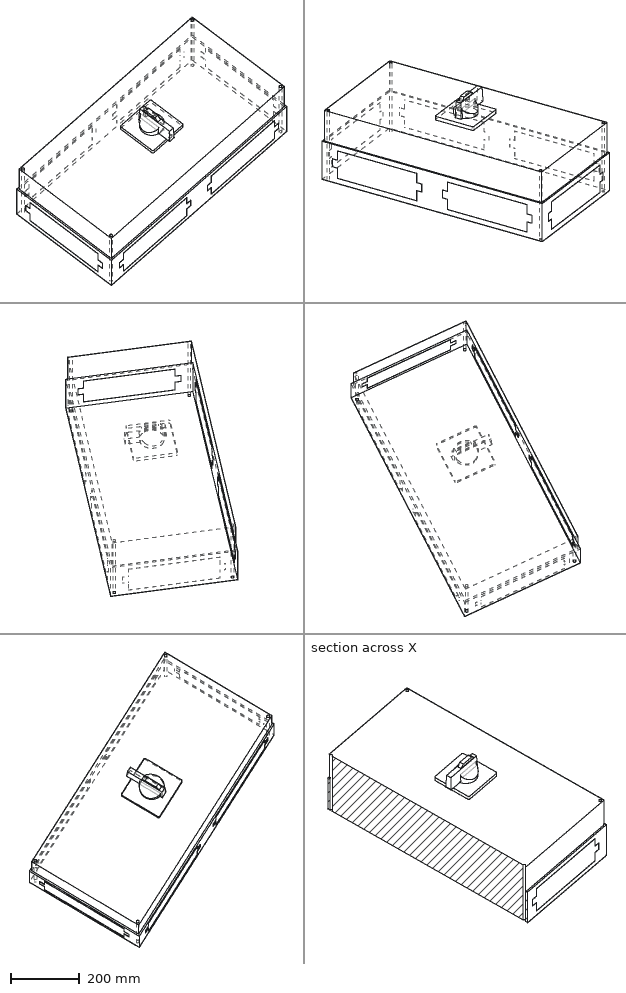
import cadquery as cq
import math

base_length_x = 375.0
base_length_y = 750.0
base_height = 125.0
lid_inset = 5.0
lid_top_z = 225.0

screw_hole_diameter = 8.0
screw_hole_edge_distance = 13.0

panel_width = 270.0
panel_height = 90.0
ear_span = 304.0
ear_height = 26.0
ear_center_z = 64.0
panel_center_z = base_height / 2
panel_depth = 0.5
side_panel_pitch = base_length_y / 2

plate_size = 130.0
plate_thickness = 12.0
plate_corner_radius = 4.0
plate_top_z = lid_top_z + plate_thickness

knob_diameter = 71.68
knob_top_radius = 37.0
shoulder_rim_z = 247.0
shoulder_inner_y = 15.0
shoulder_inner_z = 260.5
blend_top_z = 270.0

grip_left_x = -42.2
grip_right_x = 80.2
grip_half_width = 10.2
grip_clearance = 5.0
grip_top_z = 289.2
grip_draft = 2.5

crest_base_length = 60.0
crest_top_length = 38.0
crest_width = 13.0
crest_top_z = 298.8


def make_enclosure():
    base = cq.Workplane("XY").box(base_length_x, base_length_y, base_height, centered=(True, True, False))
    lid = cq.Workplane("XY").box(
        base_length_x - 2 * lid_inset,
        base_length_y - 2 * lid_inset,
        lid_top_z,
        centered=(True, True, False),
    )
    return base.union(lid)


def make_screw_holes():
    hole_span_x = base_length_x - 2 * screw_hole_edge_distance
    hole_span_y = base_length_y - 2 * screw_hole_edge_distance
    return (
        cq.Workplane("XY")
        .rect(hole_span_x, hole_span_y, forConstruction=True)
        .vertices()
        .circle(screw_hole_diameter / 2)
        .extrude(lid_top_z)
    )


def make_panel():
    """Cross-shaped panel centred on the origin in X and Y, thick enough to reach panel_depth both ways."""
    thickness = 2 * panel_depth
    field = cq.Workplane("XY").box(panel_width, thickness, panel_height).translate((0, 0, panel_center_z))
    ears = cq.Workplane("XY").box(ear_span, thickness, ear_height).translate((0, 0, ear_center_z))
    return field.union(ears)


def make_panel_recesses():
    end_panel = make_panel()
    side_panel = end_panel.rotate((0, 0, 0), (0, 0, 1), 90)
    recesses = cq.Workplane("XY")
    for side in (-1, 1):
        recesses = recesses.add(end_panel.translate((0, side * base_length_y / 2, 0)))
        for end in (-1, 1):
            position = (side * base_length_x / 2, end * side_panel_pitch / 2, 0)
            recesses = recesses.add(side_panel.translate(position))
    return recesses.combine()


def make_plate():
    return (
        cq.Workplane("XY", origin=(0, 0, lid_top_z))
        .rect(plate_size, plate_size)
        .extrude(plate_thickness)
        .edges("|Z")
        .fillet(plate_corner_radius)
    )


def grip_half_width_at(z):
    """Half width of the drafted grip at height z."""
    return grip_half_width - (z - plate_top_z) * math.tan(math.radians(grip_draft))


def make_knob():
    blend_y = grip_half_width_at(blend_top_z)
    blend_run = shoulder_inner_y - blend_y
    blend_drop = blend_top_z - shoulder_inner_z
    draft = math.radians(grip_draft)
    offset_from_wall = blend_run * math.cos(draft) - blend_drop * math.sin(draft)
    blend_radius = (blend_run**2 + blend_drop**2) / (2 * offset_from_wall)
    profile = (
        cq.Workplane("YZ", origin=(-knob_top_radius, 0, 0))
        .moveTo(-knob_top_radius, plate_top_z)
        .lineTo(knob_top_radius, plate_top_z)
        .lineTo(knob_top_radius, shoulder_rim_z)
        .lineTo(shoulder_inner_y, shoulder_inner_z)
        .radiusArc((blend_y, blend_top_z), blend_radius)
        .lineTo(-blend_y, blend_top_z)
        .radiusArc((-shoulder_inner_y, shoulder_inner_z), blend_radius)
        .lineTo(-knob_top_radius, shoulder_rim_z)
        .close()
        .extrude(2 * knob_top_radius)
    )
    flared_body = (
        cq.Workplane("XY", origin=(0, 0, plate_top_z))
        .circle(knob_diameter / 2)
        .workplane(offset=blend_top_z - plate_top_z)
        .circle(knob_top_radius)
        .loft()
    )
    return profile.intersect(flared_body)


def make_grip():
    length = grip_right_x - grip_left_x
    center_x = (grip_right_x + grip_left_x) / 2
    bar = (
        cq.Workplane("XY", origin=(center_x, 0, plate_top_z))
        .rect(length, 2 * grip_half_width)
        .extrude(grip_top_z - plate_top_z, taper=grip_draft)
    )
    clearance = (
        cq.Workplane("XY", origin=(grip_right_x / 2, 0, plate_top_z))
        .rect(grip_right_x, 2 * grip_half_width)
        .extrude(grip_clearance)
    )
    return bar.cut(clearance)


def make_crest():
    return (
        cq.Workplane("XZ")
        .moveTo(-crest_base_length / 2, grip_top_z)
        .lineTo(crest_base_length / 2, grip_top_z)
        .lineTo(crest_top_length / 2, crest_top_z)
        .lineTo(-crest_top_length / 2, crest_top_z)
        .close()
        .extrude(crest_width / 2, both=True)
    )


enclosure = make_enclosure().cut(make_screw_holes()).cut(make_panel_recesses())
switch = make_plate().union(make_knob()).union(make_grip()).union(make_crest())
result = enclosure.union(switch)